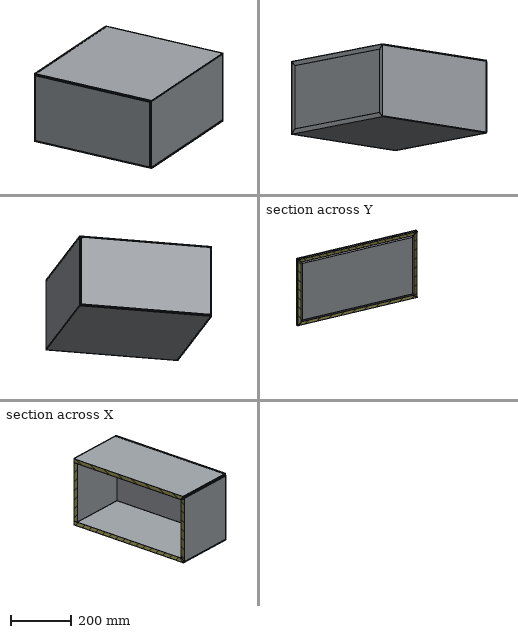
import cadquery as cq

WIDTH = 450.0
HEIGHT = 245.0
TOTAL_DEPTH = 470.0

BOARD = 16.0
LIP = 3.0
BEVEL = BOARD - LIP

DOOR_PROUD = 6.0
DOOR_INSET = 5.0

CARCASS_DEPTH = TOTAL_DEPTH - DOOR_PROUD


def block(size_x, size_y, size_z, corner):
    """Rectangular block with its lowest corner at the given point."""
    return cq.Workplane("XY").box(size_x, size_y, size_z, centered=False).translate(corner)


def make_horizontal_board():
    """Board lying on z = 0, stepped in over its end lips, mitred above them and bevelled in front."""
    profile = [
        (0, 0),
        (WIDTH, 0),
        (WIDTH, LIP),
        (WIDTH - LIP, LIP),
        (WIDTH - BOARD, BOARD),
        (BOARD, BOARD),
        (LIP, LIP),
        (0, LIP),
    ]
    board = cq.Workplane("XZ").polyline(profile).close().extrude(-CARCASS_DEPTH)
    return board.faces(">Z").edges("<Y").chamfer(BEVEL)


def make_upright_board():
    """Board standing at x = 0 between the lips of the bottom and top, bevelled on its inner face."""
    board = block(BOARD, CARCASS_DEPTH, HEIGHT - 2 * LIP, (0, 0, LIP))
    return board.faces(">X").edges("<Y or <Z or >Z").chamfer(BEVEL)


def make_back():
    """Plain panel closing the rear opening, flush with the rear edges of the carcass."""
    return block(
        WIDTH - 2 * BOARD,
        BOARD,
        HEIGHT - 2 * BOARD,
        (BOARD, CARCASS_DEPTH - BOARD, BOARD),
    )


def make_door():
    """Door standing proud of the carcass, bevelled all round its rear face to nest in the opening."""
    door = block(
        WIDTH - 2 * DOOR_INSET,
        BOARD,
        HEIGHT - 2 * DOOR_INSET,
        (DOOR_INSET, -DOOR_PROUD, DOOR_INSET),
    )
    return door.faces(">Y").chamfer(BEVEL)


bottom = make_horizontal_board()
top = bottom.mirror("XY").translate((0, 0, HEIGHT))
left_side = make_upright_board()
right_side = left_side.mirror("YZ").translate((WIDTH, 0, 0))
back = make_back()
door = make_door()

result = cq.Compound.makeCompound(
    [
        bottom.val(),
        top.val(),
        left_side.val(),
        right_side.val(),
        back.val(),
        door.val(),
    ]
)